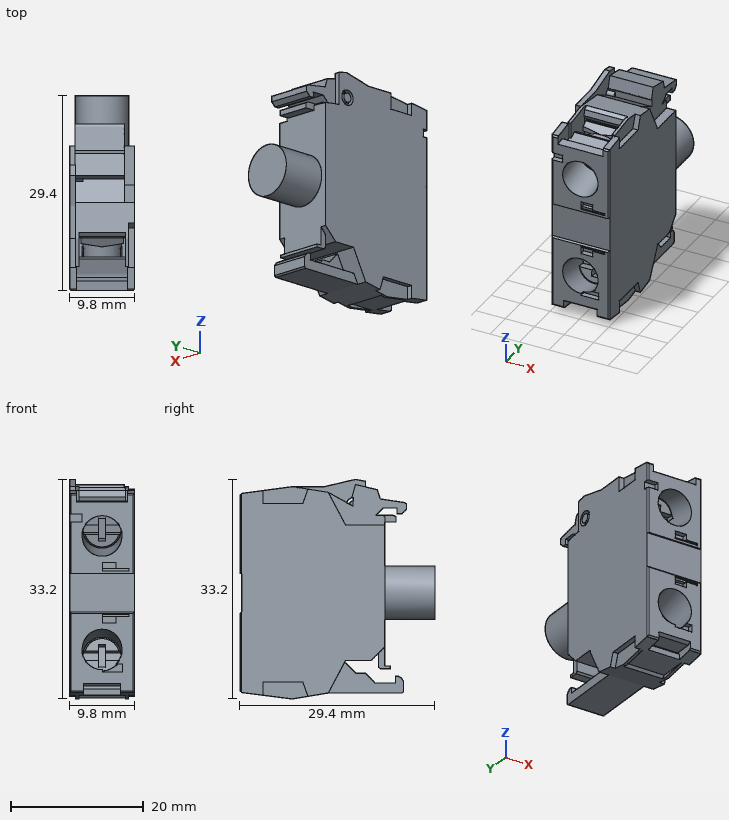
import cadquery as cq

WIDTH = 9.8
HEIGHT = 33.15
TOTAL_DEPTH = 29.4
MID_X = WIDTH / 2
MID_Z = 16.04

BACK_Y = 21.85
PANEL_STEP = 0.24
PANEL_GAP = 5.75
FRONT_BOTTOM_Z = 1.0
FRONT_TOP_Z = 31.0
CREST_Y = 7.85
TOP_Z = 32.05
EAR_FRONT_Y = 12.7
FOOT_Y, FOOT_Z = 13.3, 0.9
STEP_Y, STEP_Z = 15.9, 5.8
REAR_CHAMFER = 2.1
SHELF_Z = 27.4
SHELF_FRONT_Z = 27.75
SHELF_BEVEL = 0.25
LATCH_FLOOR_Z = 27.7
RAMP_END_Y, RAMP_END_Z = 17.05, 29.1

LEFT_WALL = 0.9
RIGHT_WALL = 1.55
EAR_BACK_Y = 18.95
EAR_PEAK_Y = 17.4
EAR_BACK_Z = 32.85

TUBE_D = 8.1

LATCH_X0 = 0.8
LATCH_X1 = WIDTH - RIGHT_WALL
LATCH_NOSE_Z = 30.35
LATCH_TIP_Y = 25.1
LATCH_HOOK_Y, LATCH_HOOK_Z = 23.65, 27.95
LATCH_ARM_Z = 28.8
PIN_D = 1.5
PIN_LENGTH = 2.05
PIN_HOLE_D = 2.4
PIN_Y, PIN_Z = 17.2, 29.2

LIP_X0, LIP_X1 = 2.5, 8.0
LIP_BOTTOM_Z, LIP_TOP_Z = 26.7, 27.75
LIP_END_Y = 23.55
LUG_X0, LUG_X1 = 1.0, 8.8
LUG_FRONT_Y, LUG_END_Y = 20.85, 22.65
LUG_BOTTOM_Z = 4.55
LUG_ROOT_Z = 9.0
LUG_TOE_HEIGHT = 0.45
LUG_CHAMFER = 0.3
CLIP_X0 = 1.7
CLIP_X1 = WIDTH - CLIP_X0
CLIP_TOP_Z = 2.46
CLIP_END_Y = 24.66
CLIP_HOOK_Z = 3.46
CLIP_HOOK_LENGTH = 1.25
CLIP_CHAMFER = 0.25
CLIP_ROOT_Y = FOOT_Y - 1.0
GUSSET_X0 = 3.5
GUSSET_STEP_Z = 3.9
GUSSET_TOP_Z = 5.6

NOTCH_DEPTH = 0.88
NOTCH_FRONT_Y = 3.46
NOTCH_LOWER_Z = 2.57
NOTCH_UPPER_Z = 29.5
NOTCH_SLANT_Y0, NOTCH_SLANT_Y1 = 9.47, 10.24
NOTCH_SLANT_END_Z = 0.4
CUT_MARGIN = 1.0

BORE_D = 6.0
BORE_Z = 24.6
BORE_TILT = 11.0
BORE_DEPTH = 5.0
SCREW_D = 5.8
SCREW_LENGTH = 4.0
SCREW_CHAMFER = 0.25
SLOT_WIDTH = 1.45
CROSS_SLOT_WIDTH = 1.0
CROSS_SLOT_LENGTH = 3.45
SLOT_DEPTH = 1.6
CROSS_SLOT_DEPTH = 1.8
BORE_END = BORE_DEPTH + CROSS_SLOT_DEPTH

MOUTH_WIDTH = 7.65
MOUTH_DEPTH = 3.66
MOUTH_Z = 29.7
WELL_WIDTH = 7.0
WELL_FRONT_Y = 5.1
SILL_BACK = (1.44, 29.9)
GROOVE_START = (2.0, 28.3)
GROOVE_MIDDLE = (2.4, 28.36)
GROOVE_END = (2.77, 28.5)
RAMP_TOP_Y, RAMP_TOP_Z = 4.8, 29.3
WELL_BACK_Y = 8.2
WELL_LEDGE_Y = 7.95
WELL_LEDGE_Z = 30.5
WELL_LEDGE_BASE_Z = 29.9
WELL_BEVEL_Z = 31.45
WELL_RIM_Y, WELL_RIM_Z = 8.75, 31.9
WELL_FLOOR_Z = 26.0
WEDGE_WIDTH = 6.4
WEDGE_TOP_Z = 29.7
WEDGE_BASE_Z = 28.2
WEDGE_SIDE_Y = 7.1
WEDGE_TIP_Y = 6.6

CHANNEL_WIDTH = 5.64
CHANNEL_MOUTH_Z = 2.33
CHANNEL_ROOF_Z = 2.0
CHANNEL_BEVEL_Z = 1.55
CHANNEL_BACK_Y = 3.0
POCKET_ROOF_Z = 0.55

MARK_X = 5.0
MARK_DEPTH = 0.9
SLIT_LENGTH = 4.0
SLIT_HEIGHT = 0.35
SLIT_DEPTH = 0.3
INDEX_WIDTH = 2.0
INDEX_HEIGHT = 0.95
SLIT_OFFSET = 3.27
SIDE_RECESS_WIDTH = 1.88
SIDE_RECESS_Z0, SIDE_RECESS_Z1 = 26.7, 27.94
LOWER_POCKET_X1 = 8.0
LOWER_POCKET_Z0, LOWER_POCKET_Z1 = 4.1, 5.3


def prism(points, x0, x1):
    """Extrude a (Y, Z) outline from x0 to x1."""
    return cq.Workplane("YZ").workplane(offset=x0).polyline(points).close().extrude(x1 - x0)


def block(x0, x1, y0, y1, z0, z1):
    return cq.Workplane("XY").box(x1 - x0, y1 - y0, z1 - z0, centered=False).translate((x0, y0, z0))


def x_cylinder(diameter, y, z, x0, x1):
    return cq.Workplane("YZ").workplane(offset=x0).center(y, z).circle(diameter / 2).extrude(x1 - x0)


def flipped(shape):
    """Mirror a shape between the upper and the lower terminal."""
    return shape.mirror("XY", (0, 0, MID_Z))


def flipped_z(z):
    return 2 * MID_Z - z


def slope_z(y, y0, z0, y1, z1):
    return z0 + (z1 - z0) * (y - y0) / (y1 - y0)


def housing_section(rear_top, x0, x1):
    """Slice of the housing; rear_top runs from the rear wall to the crest."""
    top_front_z = slope_z(PANEL_STEP, 0, FRONT_TOP_Z, CREST_Y, TOP_Z)
    bottom_front_z = slope_z(PANEL_STEP, 0, FRONT_BOTTOM_Z, CREST_Y, 0)
    outline = [
        (PANEL_STEP, bottom_front_z),
        (CREST_Y, 0),
        (FOOT_Y, FOOT_Z),
        (STEP_Y, STEP_Z),
        (BACK_Y - REAR_CHAMFER, STEP_Z),
        (BACK_Y, STEP_Z + REAR_CHAMFER),
    ]
    outline += rear_top
    outline += [(CREST_Y, TOP_Z), (PANEL_STEP, top_front_z)]
    return prism(outline, x0, x1)


def front_panel(z0, z1, chamfered_edges):
    """Raised panel, chamfered down to the housing face; its rear half sinks into the housing."""
    panel = block(0, WIDTH, 0, 2 * PANEL_STEP, z0, z1)
    return panel.faces("<Y").edges(chamfered_edges).chamfer(PANEL_STEP)


def make_housing():
    ear = [
        (BACK_Y, SHELF_Z),
        (EAR_BACK_Y, SHELF_FRONT_Z),
        (EAR_BACK_Y, EAR_BACK_Z),
        (EAR_PEAK_Y, HEIGHT),
        (EAR_FRONT_Y, TOP_Z),
    ]
    ramp = [
        (BACK_Y, LATCH_FLOOR_Z - SHELF_BEVEL),
        (BACK_Y - SHELF_BEVEL, LATCH_FLOOR_Z),
        (RAMP_END_Y, LATCH_FLOOR_Z),
        (RAMP_END_Y, RAMP_END_Z),
        (FOOT_Y, flipped_z(FOOT_Z)),
    ]
    low_shelf = [
        (BACK_Y, flipped_z(STEP_Z)),
        (STEP_Y, flipped_z(STEP_Z)),
        (FOOT_Y, flipped_z(FOOT_Z)),
    ]
    body = housing_section(ear, 0, LEFT_WALL)
    body = body.union(housing_section(ramp, LEFT_WALL, WIDTH - RIGHT_WALL))
    body = body.union(housing_section(low_shelf, WIDTH - RIGHT_WALL, WIDTH))
    upper_panel = front_panel(MID_Z + PANEL_GAP / 2, FRONT_TOP_Z, "not <Z")
    lower_panel = front_panel(FRONT_BOTTOM_Z, MID_Z - PANEL_GAP / 2, None)
    return body.union(upper_panel).union(lower_panel)


def make_tube():
    tube = cq.Workplane("XZ").center(MID_X, MID_Z).circle(TUBE_D / 2)
    return tube.extrude(-(TOTAL_DEPTH - BACK_Y)).translate((0, BACK_Y, 0))


def make_latch():
    """Upper hook, outlined from the foot of its front face over the top."""
    outline = [
        (RAMP_END_Y, LATCH_FLOOR_Z),
        (RAMP_END_Y, LATCH_NOSE_Z),
        (16.85, LATCH_NOSE_Z),
        (17.4, 32.35),
        (20.7, 31.6),
        (21.15, 30.2),
        (24.7, 29.67),
        (LATCH_TIP_Y, 29.5),
        (LATCH_TIP_Y, 28.6),
        (24.4, LATCH_HOOK_Z),
        (LATCH_HOOK_Y, LATCH_HOOK_Z),
        (LATCH_HOOK_Y, LATCH_ARM_Z),
        (21.6, LATCH_ARM_Z),
        (20.5, LATCH_FLOOR_Z),
    ]
    return prism(outline, LATCH_X0, LATCH_X1)


def make_rear_lips():
    """Plain lip above the tube and an L-shaped lug below it."""
    lip = [
        (LUG_FRONT_Y, LIP_BOTTOM_Z),
        (LIP_END_Y, LIP_BOTTOM_Z),
        (LIP_END_Y, LIP_TOP_Z - 0.25),
        (LIP_END_Y - 0.45, LIP_TOP_Z),
        (LUG_FRONT_Y, LIP_TOP_Z),
    ]
    lug = [
        (BACK_Y, LUG_ROOT_Z),
        (BACK_Y, LUG_BOTTOM_Z + LUG_TOE_HEIGHT),
        (LUG_END_Y, LUG_BOTTOM_Z + LUG_TOE_HEIGHT),
        (LUG_END_Y, LUG_BOTTOM_Z),
        (LUG_FRONT_Y + LUG_CHAMFER, LUG_BOTTOM_Z),
        (LUG_FRONT_Y, LUG_BOTTOM_Z + LUG_CHAMFER),
        (LUG_FRONT_Y, LUG_ROOT_Z),
    ]
    return prism(lip, LIP_X0, LIP_X1).union(prism(lug, LUG_X0, LUG_X1))


def make_clip():
    """Lower hooked arm with a stepped gusset; both root inside the housing."""
    arm = [
        (CLIP_ROOT_Y, FOOT_Z),
        (CLIP_END_Y - CLIP_CHAMFER, FOOT_Z),
        (CLIP_END_Y, FOOT_Z + CLIP_CHAMFER),
        (CLIP_END_Y, 2.7),
        (CLIP_END_Y - 0.35, 3.2),
        (CLIP_END_Y - 0.8, CLIP_HOOK_Z),
        (CLIP_END_Y - CLIP_HOOK_LENGTH, CLIP_HOOK_Z),
        (CLIP_END_Y - CLIP_HOOK_LENGTH, CLIP_TOP_Z),
        (CLIP_ROOT_Y, CLIP_TOP_Z),
    ]
    gusset = [
        (FOOT_Y, CLIP_TOP_Z),
        (20.35, CLIP_TOP_Z),
        (18.95, GUSSET_STEP_Z),
        (17.5, GUSSET_STEP_Z),
        (15.8, GUSSET_TOP_Z),
        (FOOT_Y, GUSSET_TOP_Z),
    ]
    return prism(arm, CLIP_X0, CLIP_X1).union(prism(gusset, GUSSET_X0, CLIP_X1))


def side_notches():
    """Cutters for the shallow notches at the upper and lower outer edges."""
    square_top = block(0, NOTCH_DEPTH, NOTCH_FRONT_Y, CREST_Y, NOTCH_UPPER_Z, HEIGHT + CUT_MARGIN)
    slant_per_z = (NOTCH_SLANT_Y1 - NOTCH_SLANT_Y0) / (NOTCH_LOWER_Z - NOTCH_SLANT_END_Z)
    slanted = [
        (NOTCH_FRONT_Y, NOTCH_LOWER_Z),
        (NOTCH_SLANT_Y0, NOTCH_LOWER_Z),
        (NOTCH_SLANT_Y0 + slant_per_z * (NOTCH_LOWER_Z + CUT_MARGIN), -CUT_MARGIN),
        (NOTCH_FRONT_Y, -CUT_MARGIN),
    ]
    lower_left = prism(slanted, 0, NOTCH_DEPTH)
    lower_right = prism(slanted, WIDTH - NOTCH_DEPTH, WIDTH)
    return square_top.union(lower_left).union(lower_right).union(flipped(lower_right))


def wire_opening():
    """Cutter for the stepped opening above the upper terminal, sloped floor and screw well."""
    top = HEIGHT + CUT_MARGIN
    floor = (
        cq.Workplane("YZ")
        .moveTo(-CUT_MARGIN, top)
        .lineTo(-CUT_MARGIN, MOUTH_Z)
        .lineTo(0, MOUTH_Z)
        .lineTo(*SILL_BACK)
        .lineTo(*GROOVE_START)
        .threePointArc(GROOVE_MIDDLE, GROOVE_END)
        .lineTo(RAMP_TOP_Y, RAMP_TOP_Z)
        .lineTo(WELL_FRONT_Y, RAMP_TOP_Z)
        .lineTo(WELL_FRONT_Y, WELL_FLOOR_Z)
        .lineTo(WELL_BACK_Y, WELL_FLOOR_Z)
        .lineTo(WELL_BACK_Y, WELL_LEDGE_BASE_Z)
        .lineTo(WELL_LEDGE_Y, WELL_LEDGE_Z)
        .lineTo(WELL_BACK_Y, WELL_BEVEL_Z)
        .lineTo(WELL_RIM_Y, WELL_RIM_Z)
        .lineTo(WELL_RIM_Y, top)
        .close()
        .extrude(WIDTH)
    )
    mouth_x0 = MID_X - MOUTH_WIDTH / 2
    well_x0 = MID_X - WELL_WIDTH / 2
    mouth = block(mouth_x0, mouth_x0 + MOUTH_WIDTH, -CUT_MARGIN, MOUTH_DEPTH, WELL_FLOOR_Z, top)
    well = block(well_x0, well_x0 + WELL_WIDTH, 0, WELL_RIM_Y, WELL_FLOOR_Z, top)
    return floor.intersect(mouth.union(well))


def well_wedge():
    """Pointed, sloping guide on the rear wall of the well."""
    half = WEDGE_WIDTH / 2
    plan = [
        (MID_X - half, WELL_BACK_Y),
        (MID_X + half, WELL_BACK_Y),
        (MID_X + half, WEDGE_SIDE_Y),
        (MID_X, WEDGE_TIP_Y),
        (MID_X - half, WEDGE_SIDE_Y),
    ]
    pointed = cq.Workplane("XY").polyline(plan).close().extrude(HEIGHT)
    slope_outline = [
        (6.0, 28.5),
        (WELL_LEDGE_Y, WEDGE_TOP_Z),
        (WELL_BACK_Y, WEDGE_TOP_Z),
        (WELL_BACK_Y, WEDGE_BASE_Z),
    ]
    slope = prism(slope_outline, 0, WIDTH)
    return pointed.intersect(slope)


def lower_channel():
    """Cutter for the wire opening below the lower terminal."""
    outline = [
        (-CUT_MARGIN, -CUT_MARGIN),
        (-CUT_MARGIN, CHANNEL_MOUTH_Z),
        (0, CHANNEL_MOUTH_Z),
        (0.6, CHANNEL_ROOF_Z),
        (NOTCH_FRONT_Y, CHANNEL_ROOF_Z),
        (CHANNEL_BACK_Y, CHANNEL_BEVEL_Z),
        (CHANNEL_BACK_Y, -CUT_MARGIN),
    ]
    channel = prism(outline, MID_X - CHANNEL_WIDTH / 2, MID_X + CHANNEL_WIDTH / 2)
    pocket = [
        (NOTCH_FRONT_Y, -CUT_MARGIN),
        (NOTCH_FRONT_Y, POCKET_ROOF_Z),
        (WELL_BACK_Y, POCKET_ROOF_Z),
        (WELL_RIM_Y, 0),
        (WELL_RIM_Y, -CUT_MARGIN),
    ]
    return channel.union(prism(pocket, MID_X - WELL_WIDTH / 2, MID_X + WELL_WIDTH / 2))


def tilted(shape):
    """Place a shape drawn along +Y at the upper bore, rising to the rear."""
    return shape.rotate((0, 0, 0), (1, 0, 0), BORE_TILT).translate((MID_X, 0, BORE_Z))


def y_cylinder(diameter, y0, y1):
    return cq.Workplane("XZ").circle(diameter / 2).extrude(y0 - y1).translate((0, y0, 0))


def screw_bore():
    """Bore down to the bottom of the cross slot, leaving a gap around the head."""
    return tilted(y_cylinder(BORE_D, -CUT_MARGIN, BORE_END))


def terminal_screw():
    """Screw head with a full-width slot and a short cross slot."""
    head = y_cylinder(SCREW_D, BORE_DEPTH, BORE_DEPTH + SCREW_LENGTH)
    head = head.faces("<Y").edges().chamfer(SCREW_CHAMFER)
    half_slot = SLOT_WIDTH / 2
    slot = block(-BORE_D, BORE_D, 0, BORE_DEPTH + SLOT_DEPTH, -half_slot, half_slot)
    half_cross = CROSS_SLOT_WIDTH / 2
    half_length = CROSS_SLOT_LENGTH / 2
    cross = block(-half_cross, half_cross, 0, BORE_END, -half_length, half_length)
    return tilted(head.cut(slot).cut(cross))


def panel_marks():
    """Cutters for the index recess and slit on the upper panel."""
    slit_z = MID_Z + SLIT_OFFSET
    slit = block(MARK_X, MARK_X + SLIT_LENGTH, 0, SLIT_DEPTH, slit_z, slit_z + SLIT_HEIGHT)
    index_z = slit_z + SLIT_HEIGHT
    index = block(MARK_X, MARK_X + INDEX_WIDTH, 0, MARK_DEPTH, index_z, index_z + INDEX_HEIGHT)
    return slit.union(index)


def single_recesses():
    """Cutters for the side recess of the upper panel and the pocket beside the lower bore."""
    side = block(0, SIDE_RECESS_WIDTH, 0, MARK_DEPTH, SIDE_RECESS_Z0, SIDE_RECESS_Z1)
    return side.union(block(MARK_X, LOWER_POCKET_X1, 0, MARK_DEPTH, LOWER_POCKET_Z0, LOWER_POCKET_Z1))


body = make_housing()
body = body.union(make_tube()).union(make_rear_lips()).union(make_clip())
body = body.cut(x_cylinder(PIN_HOLE_D, PIN_Y, PIN_Z, 0, LEFT_WALL))
body = body.union(make_latch()).union(x_cylinder(PIN_D, PIN_Y, PIN_Z, 0, PIN_LENGTH))
body = body.cut(side_notches()).cut(wire_opening()).cut(lower_channel())

body = body.cut(screw_bore()).cut(flipped(screw_bore()))
body = body.union(terminal_screw()).union(flipped(terminal_screw()))
body = body.cut(panel_marks()).cut(flipped(panel_marks()))
body = body.union(well_wedge()).cut(single_recesses())
result = body